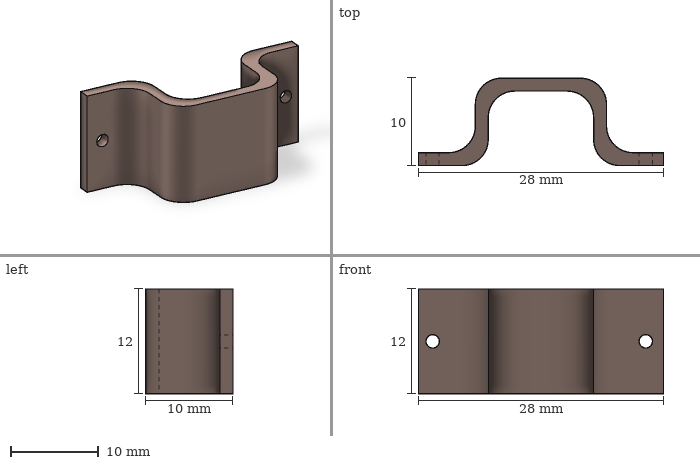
import cadquery as cq

length = 28.0
depth = 10.0
height = 12.0

thickness = 1.5
crown_width = 15.0
bend_radius = 3.0

hole_diameter = 1.5
left_hole_end_distance = 1.645
right_hole_end_distance = 2.035

half_length = length / 2
half_crown = crown_width / 2
front_y = -depth / 2
back_y = depth / 2
flange_back_y = front_y + thickness


def centred_block(half_width, base_y, top_y):
    """Block from base_y to top_y, full height in Z, symmetric about X = 0."""
    return (
        cq.Workplane("XY")
        .box(2 * half_width, top_y - base_y, height, centered=(True, False, True))
        .translate((0, base_y, 0))
    )


def vertical_edges_at(x, y):
    """Selectors for the mirrored pair of Z edges at (+x, y) and (-x, y)."""
    reach = 0.1
    return tuple(
        cq.selectors.BoxSelector(
            (side * x - reach, y - reach, -height),
            (side * x + reach, y + reach, height),
        )
        for side in (-1, 1)
    )


def bent_strip():
    """Hat-shaped strip with all eight bends rounded."""
    half_opening = half_crown - thickness
    flange = centred_block(half_length, front_y, flange_back_y)
    crown = centred_block(half_crown, front_y, back_y)
    opening = centred_block(half_opening, front_y, back_y - thickness)
    strip = flange.union(crown).cut(opening)

    bends = (
        (half_crown, flange_back_y),
        (half_crown, back_y),
        (half_opening, back_y - thickness),
        (half_opening, front_y),
    )
    for x, y in bends:
        left, right = vertical_edges_at(x, y)
        strip = strip.edges(left + right).fillet(bend_radius)
    return strip


def mounting_holes():
    """Cylinders along Y through both flanges at mid height."""
    centres = (
        (-half_length + left_hole_end_distance, 0),
        (half_length - right_hole_end_distance, 0),
    )
    return (
        cq.Workplane("XZ", origin=(0, flange_back_y, 0))
        .pushPoints(centres)
        .circle(hole_diameter / 2)
        .extrude(thickness)
    )


result = bent_strip().cut(mounting_holes())